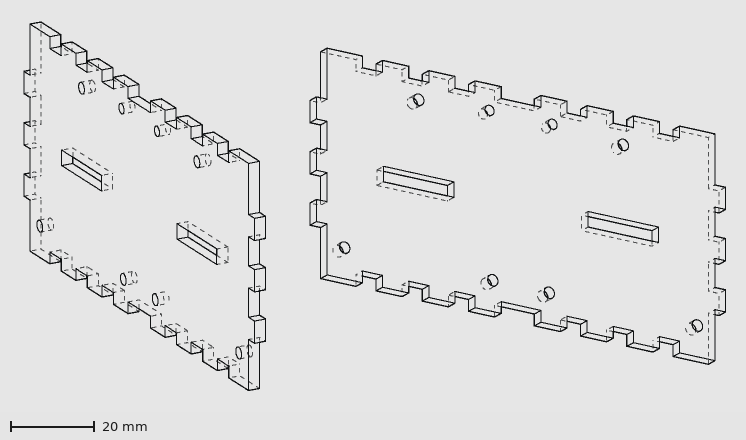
import cadquery as cq

length = 116.0
height = 58.0
thickness = 3.0
finger_pitch = 13.1
notch_width = 5.7
slot_length = 20.0
slot_height = 4.0
mount_hole_diameter = 2.9
mount_hole_offset = 21.0
inner_hole_diameter = 2.5
inner_hole_x = 8.9
inner_hole_z = 22.3

module_center_x = length / 4
body_length = length - 2 * thickness
notch_z = (height - thickness) / 2
end_tab_x = (length - thickness) / 2
finger_offsets = [-finger_pitch, 0, finger_pitch]
tab_width = finger_pitch - notch_width
center_notch_half = module_center_x - 1.5 * finger_pitch - tab_width / 2


def block(size_x, size_z, x, z):
    """Full-thickness block centred at (x, z)."""
    return cq.Workplane("XY").box(size_x, thickness, size_z).translate((x, 0, z))


def through_holes(diameter, points):
    """Cylinders along Y that pass through the plate."""
    return cq.Workplane("XZ").pushPoints(points).circle(diameter / 2).extrude(thickness / 2, both=True)


plate = block(body_length, height, 0, 0)

for side in (-1, 1):
    for offset in finger_offsets:
        plate = plate.union(block(thickness, notch_width, side * end_tab_x, offset))

for edge in (-1, 1):
    plate = plate.cut(block(2 * center_notch_half, thickness, 0, edge * notch_z))
    for side in (-1, 1):
        for offset in finger_offsets:
            notch_x = side * module_center_x + offset
            plate = plate.cut(block(notch_width, thickness, notch_x, edge * notch_z))

for side in (-1, 1):
    center_x = side * module_center_x
    plate = plate.cut(block(slot_length, slot_height, center_x, 0))
    mount_points = [
        (center_x, mount_hole_offset),
        (center_x - mount_hole_offset, -mount_hole_offset),
        (center_x + mount_hole_offset, -mount_hole_offset),
    ]
    plate = plate.cut(through_holes(mount_hole_diameter, mount_points))

inner_points = [(-inner_hole_x, inner_hole_z), (inner_hole_x, inner_hole_z)]
plate = plate.cut(through_holes(inner_hole_diameter, inner_points))

result = plate